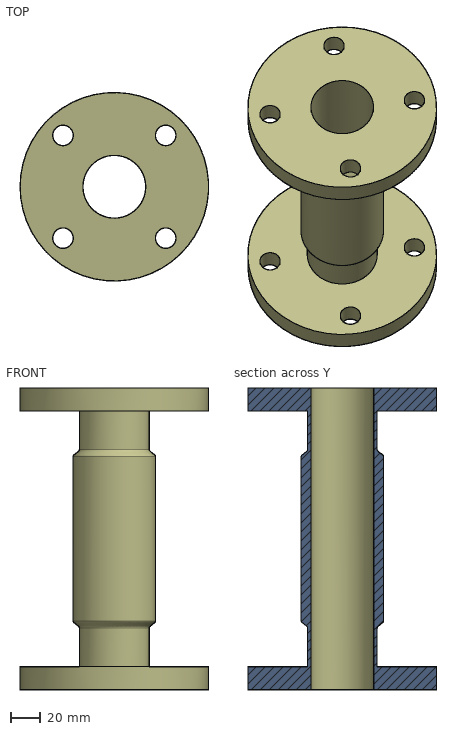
import cadquery as cq

length = 208.0
flange_diameter = 130.0
flange_thickness = 16.0

bore_diameter = 43.0
neck_diameter = 48.3
sleeve_diameter = 57.0
sleeve_length = 122.7
shoulder_length = 4.8
shoulder_handle = 1.7

bolt_count = 4
bolt_hole_diameter = 14.0
bolt_circle_diameter = 100.0
first_bolt_angle = 180 / bolt_count


def turned_body():
    """Flanges, necks, sleeve and bore as one half profile turned about Z."""
    bore_x = -bore_diameter / 2
    neck_x = -neck_diameter / 2
    sleeve_x = -sleeve_diameter / 2
    flange_x = -flange_diameter / 2

    end_z = length / 2
    flange_z = end_z - flange_thickness
    sleeve_end_z = sleeve_length / 2
    shoulder_z = sleeve_end_z - shoulder_length

    neck_handle = (neck_x, sleeve_end_z - shoulder_handle)
    sleeve_handle = (sleeve_x, shoulder_z + shoulder_handle)
    top_shoulder = [(sleeve_x, shoulder_z), sleeve_handle, neck_handle, (neck_x, sleeve_end_z)]
    bottom_shoulder = [(x, -z) for x, z in reversed(top_shoulder)]

    profile = (
        cq.Workplane("XZ")
        .moveTo(bore_x, -end_z)
        .lineTo(flange_x, -end_z)
        .lineTo(flange_x, -flange_z)
        .lineTo(neck_x, -flange_z)
        .lineTo(neck_x, -sleeve_end_z)
        .bezier(bottom_shoulder)
        .lineTo(sleeve_x, shoulder_z)
        .bezier(top_shoulder)
        .lineTo(neck_x, flange_z)
        .lineTo(flange_x, flange_z)
        .lineTo(flange_x, end_z)
        .lineTo(bore_x, end_z)
        .close()
    )
    return profile.revolve(360, (0, 0, 0), (0, 1, 0))


def bolt_holes():
    """Bolt hole cutters running through both flanges, clear of the sleeve."""
    return (
        cq.Workplane("XY")
        .polarArray(bolt_circle_diameter / 2, first_bolt_angle, 360, bolt_count)
        .circle(bolt_hole_diameter / 2)
        .extrude(length / 2, both=True)
    )


result = turned_body().cut(bolt_holes())